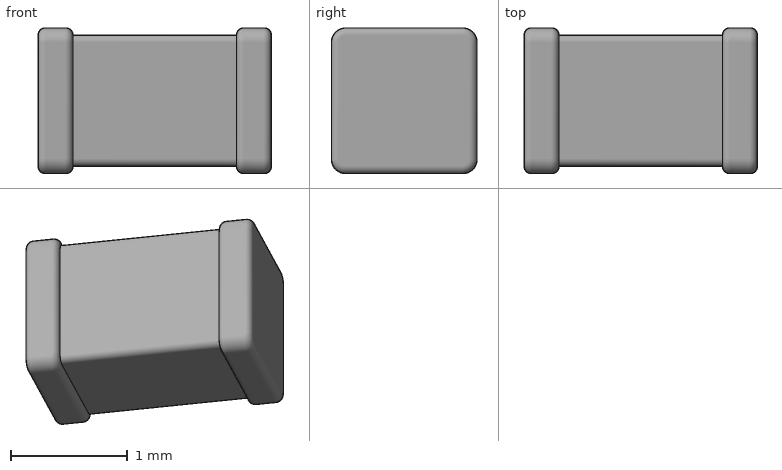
import cadquery as cq

length = 2.0
width = 1.25
height = 1.25

terminal_length = 0.3
edge_radius = height / 20
step = edge_radius
body_corner_radius = edge_radius
terminal_corner_radius = body_corner_radius + step

body_length = length - 2 * terminal_length
terminal_offset = (length - terminal_length) / 2


def rounded_bar(size_x, size_y, size_z, corner_radius):
    """Bar along X, at mid height, with its four long edges rounded."""
    bar = cq.Workplane("XY").box(size_x, size_y, size_z)
    return bar.edges("|X").fillet(corner_radius).translate((0, 0, height / 2))


def make_body():
    """Ceramic block that fills the space between the two terminals."""
    return rounded_bar(body_length, width - 2 * step, height - 2 * step, body_corner_radius)


def make_terminal(center_x):
    """End terminal with both of its rims rounded."""
    terminal = rounded_bar(terminal_length, width, height, terminal_corner_radius)
    terminal = terminal.faces("<X or >X").edges().fillet(edge_radius)
    return terminal.translate((center_x, 0, 0))


body = make_body()
terminals = [make_terminal(side * terminal_offset) for side in (-1, 1)]

result = cq.Compound.makeCompound([body.val(), *[terminal.val() for terminal in terminals]])